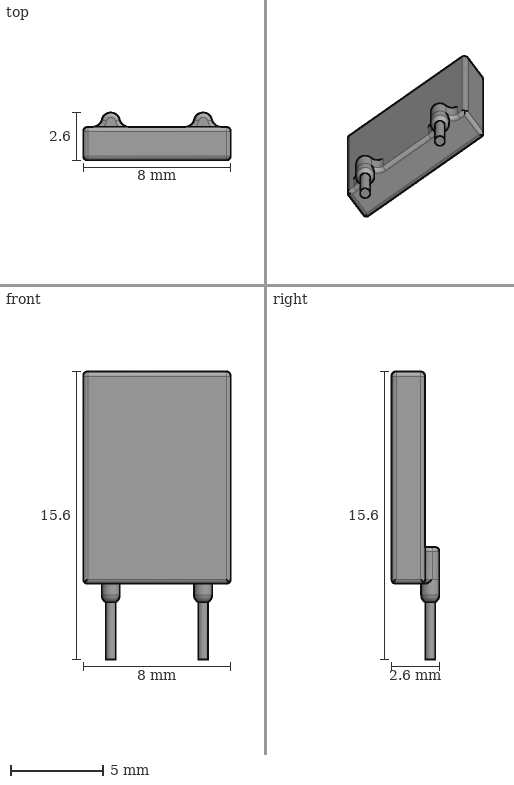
import cadquery as cq
import math

housing_width = 8.0
housing_thickness = 1.825
housing_height = 11.5
edge_radius = 0.25

lead_pitch = 5.0
lead_axis_y = 2.1
lead_radius = 0.275
lead_bottom_z = -4.1

sleeve_radius = 0.5
sleeve_top_z = 2.0
sleeve_straight_bottom_z = -0.6
flare_radius = 0.5

sleeve_end_rounding = 0.45
rounding_axis_radius = sleeve_radius - sleeve_end_rounding
sleeve_end_angle = math.acos((lead_radius - rounding_axis_radius) / sleeve_end_rounding)
sleeve_end_z = sleeve_straight_bottom_z - sleeve_end_rounding * math.sin(sleeve_end_angle)

lead_xs = [-lead_pitch / 2, lead_pitch / 2]


def make_block():
    """Sharp-edged rectangular housing block."""
    return cq.Workplane("XY").box(
        housing_width, housing_thickness, housing_height, centered=(True, False, False)
    )


def make_rounded_envelope():
    """Block with rounded upright and top edges, plus a clear zone around the ridges."""
    rounded_block = make_block().edges("|Z or >Z").fillet(edge_radius)
    ridge_zone = cq.Workplane("XY", origin=(0, housing_thickness / 2, 0)).box(
        housing_width - 2 * edge_radius,
        housing_thickness,
        sleeve_top_z + edge_radius,
        centered=(True, False, False),
    )
    return rounded_block.union(ridge_zone)


def make_ridge(x):
    """Upright ridge on the back face: a round crest blended into the face by concave flares."""
    flare_y = housing_thickness + flare_radius
    axis_distance = sleeve_radius + flare_radius
    flare_x = math.sqrt(axis_distance**2 - (flare_y - lead_axis_y) ** 2)

    crest_share = sleeve_radius / axis_distance
    joint_x = flare_x * crest_share
    joint_y = lead_axis_y + (flare_y - lead_axis_y) * crest_share

    joint_angle = math.atan2(joint_y - flare_y, joint_x - flare_x) % (2 * math.pi)
    middle_angle = (joint_angle + 1.5 * math.pi) / 2
    middle_x = flare_x + flare_radius * math.cos(middle_angle)
    middle_y = flare_y + flare_radius * math.sin(middle_angle)

    base_half_width = flare_x + edge_radius
    base_y = housing_thickness / 2

    ridge = (
        cq.Workplane("XY")
        .moveTo(-base_half_width, base_y)
        .lineTo(-base_half_width, housing_thickness)
        .lineTo(-flare_x, housing_thickness)
        .threePointArc((-middle_x, middle_y), (-joint_x, joint_y))
        .threePointArc((0, lead_axis_y + sleeve_radius), (joint_x, joint_y))
        .threePointArc((middle_x, middle_y), (flare_x, housing_thickness))
        .lineTo(base_half_width, housing_thickness)
        .lineTo(base_half_width, base_y)
        .close()
        .extrude(sleeve_top_z)
    )
    ridge = ridge.faces(">Z").edges("not(|Y or <Y)").fillet(edge_radius)
    return ridge.translate((x, 0, 0))


def make_sleeve(x):
    """Round sleeve that leaves the underside of the housing and closes in on the lead."""
    middle_angle = sleeve_end_angle / 2
    rounding_middle_x = rounding_axis_radius + sleeve_end_rounding * math.cos(middle_angle)
    rounding_middle_z = sleeve_straight_bottom_z - sleeve_end_rounding * math.sin(middle_angle)

    sleeve = (
        cq.Workplane("XZ")
        .moveTo(0, edge_radius)
        .lineTo(-sleeve_radius, edge_radius)
        .lineTo(-sleeve_radius, sleeve_straight_bottom_z)
        .threePointArc((-rounding_middle_x, rounding_middle_z), (-lead_radius, sleeve_end_z))
        .lineTo(0, sleeve_end_z)
        .close()
        .revolve(360, (0, 0, 0), (0, 1, 0))
    )
    return sleeve.translate((x, lead_axis_y, 0))


def make_housing():
    """Block, ridges and sleeves as one coated body."""
    housing = make_block()
    for x in lead_xs:
        housing = housing.union(make_ridge(x))

    housing = housing.faces("<Z").edges().fillet(edge_radius)
    housing = housing.intersect(make_rounded_envelope())

    for x in lead_xs:
        housing = housing.union(make_sleeve(x))
    return housing


def make_lead(x):
    """Straight round wire that meets the flat end of its sleeve."""
    return (
        cq.Workplane("XY", origin=(x, lead_axis_y, lead_bottom_z))
        .circle(lead_radius)
        .extrude(sleeve_end_z - lead_bottom_z)
    )


housing = make_housing()
leads = [make_lead(x) for x in lead_xs]

result = cq.Compound.makeCompound([housing.solids().val(), *[lead.val() for lead in leads]])